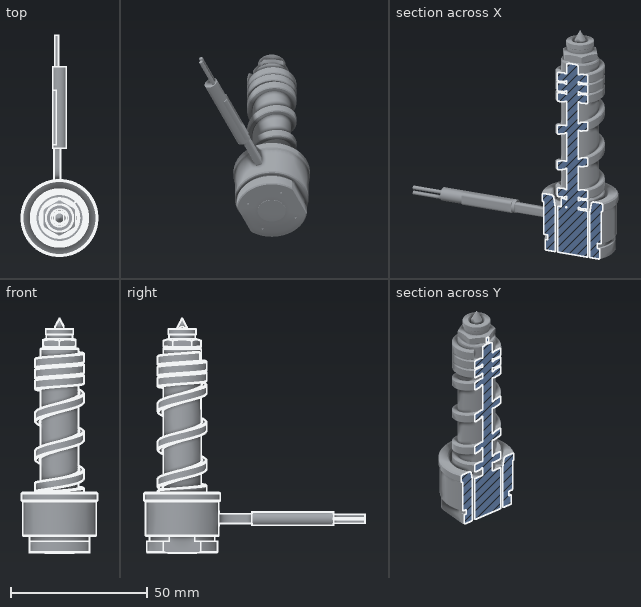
import cadquery as cq
import math

FOOT_R, FOOT_H = 5.15, 0.15
BASE_R, BASE_TOP = 13.0, 4.45
BASE_CHAMFER = 0.4
NECK_R, NECK_TOP = 12.0, 6.2
FLAT_X = 11.05
BODY_R = 13.5
BODY_CHAMFER = 0.4
RIM_R = 14.0
RIM_BOTTOM, RIM_TOP = 18.9, 22.4
RIM_CHAMFER = 0.5
RECESS_LIP_R, RECESS_TOP_R, RECESS_FLOOR_R = 10.6, 10.05, 9.6
RECESS_CHAMFER_Z, RECESS_DEPTH = 0.6, 4.0
RECESS_FLOOR = RIM_TOP - RECESS_DEPTH
VENT_R, VENT_CIRCLE_R, VENT_COUNT, VENT_START_ANGLE = 0.4, 9.3, 4, 45

BARREL_R, BARREL_TOP = 7.0, 75.2
BARREL_CHAMFER_R, BARREL_CHAMFER_Z = 0.3, 0.5

SEAT_R = 5.45
HEX_FLATS = 12.1
HEX_BOTTOM, HEX_TOP = 75.7, 78.6
HEX_TOP_R, HEX_TOP_SLOPE = 5.05, 20
TIP_NECK_R = 4.85
TIP_R, TIP_BOTTOM, TIP_TOP = 5.1, 80.1, 82.3
TIP_CHAMFER = 0.2
TIP_MOUTH_R, TIP_MOUTH_DEPTH = 3.2, 1.0
TIP_BORE_R, TIP_BORE_DEPTH = 2.5, 4.0
BORE_FLOOR = TIP_TOP - TIP_BORE_DEPTH

NEEDLE_POINT = 86.2
NEEDLE_R, NEEDLE_CONE_H = 2.0, 3.85
NEEDLE_FLAT_X = 1.65

COIL_OUTER_R = 9.05
COIL_ROOT_R = BARREL_R - 0.2
COIL_BAND = 3.6
COIL_CHAMFER = 0.35
COIL_TOP_Z = 73.4
CLOSE_PITCH, OPEN_PITCH = 3.95, 14.0
COIL_UPPER_END = 1 / 8
OPEN_START, OPEN_END = -2.52, -5.07
PITCH_BLEND = 0.4
COIL_LOWER_END = -6.6
POINTS_PER_TURN = 36

LEAD_Z = 12.7
CABLE_X, CABLE_WIDTH, CABLE_HEIGHT, CABLE_FILLET = -0.8, 2.5, 3.6, 0.55
CABLE_ROOT_Y = 12.0
SLEEVE_R, SLEEVE_START, SLEEVE_LENGTH = 2.5, 25.5, 30.0
SLEEVE_END = SLEEVE_START + SLEEVE_LENGTH
TAB_OFFSET, TAB_LENGTH, TAB_HEIGHT, TAB_FILLET = 1.3, 20.0, 4.5, 0.95
WIRE_R, WIRE_X, WIRE_SPACING = 0.7, -1.05, 2.0
WIRE_END = 67.0
LEAD_EMBED = 2.0


def cylinder(radius, bottom, top):
    return cq.Workplane("XY").workplane(offset=bottom).circle(radius).extrude(top - bottom)


def turned(outline):
    """Solid of revolution about Z from (radius, height) points."""
    return cq.Workplane("XZ").polyline(outline).close().revolve(360, (0, 0, 0), (0, 1, 0))


def bar_along_y(start, length):
    """Workplane at the far end of a bar that starts at Y = start, with its extrusion length."""
    return cq.Workplane("XZ", origin=(0, start + length, LEAD_Z)), length


def make_recess():
    """Tapered pocket around the coil with a chamfered mouth."""
    wall_top = RIM_TOP - RECESS_CHAMFER_Z
    return turned(
        [
            (0, RECESS_FLOOR),
            (RECESS_FLOOR_R, RECESS_FLOOR),
            (RECESS_TOP_R, wall_top),
            (RECESS_LIP_R, RIM_TOP),
            (0, RIM_TOP),
        ]
    )


def make_vents():
    """Small holes through the recess floor to the underside."""
    return (
        cq.Workplane("XY")
        .polarArray(VENT_CIRCLE_R, VENT_START_ANGLE, 360, VENT_COUNT)
        .circle(VENT_R)
        .extrude(RIM_TOP)
    )


def make_housing():
    base = cylinder(BASE_R, FOOT_H, BASE_TOP).faces("<Z").chamfer(BASE_CHAMFER)
    base = base.union(cylinder(NECK_R, BASE_TOP, NECK_TOP))
    base = base.intersect(cq.Workplane("XY").box(2 * FLAT_X, 2 * BASE_R, 2 * NECK_TOP))
    body = cylinder(BODY_R, NECK_TOP, RIM_BOTTOM).faces("<Z").chamfer(BODY_CHAMFER)
    rim = cylinder(RIM_R, RIM_BOTTOM, RIM_TOP).edges().chamfer(RIM_CHAMFER)
    housing = cylinder(FOOT_R, 0, FOOT_H).union(base).union(body).union(rim)
    return housing.cut(make_recess()).cut(make_vents())


def make_barrel():
    barrel = cylinder(BARREL_R, RECESS_FLOOR, BARREL_TOP)
    return barrel.faces(">Z").chamfer(BARREL_CHAMFER_Z, BARREL_CHAMFER_R)


def make_hexagon():
    """Hexagon with corners on the Y axis and a slightly conical upper face."""
    corner_r = HEX_FLATS / 2 / math.cos(math.pi / 6)
    rim_z = HEX_TOP - (corner_r - HEX_TOP_R) * math.tan(math.radians(HEX_TOP_SLOPE))
    hexagon = (
        cq.Workplane("XY")
        .workplane(offset=HEX_BOTTOM)
        .transformed(rotate=(0, 0, 90))
        .polygon(6, 2 * corner_r)
        .extrude(HEX_TOP - HEX_BOTTOM)
    )
    dome = [(0, HEX_BOTTOM), (corner_r, HEX_BOTTOM), (corner_r, rim_z), (HEX_TOP_R, HEX_TOP), (0, HEX_TOP)]
    return hexagon.intersect(turned(dome))


def make_nozzle():
    seat = cylinder(SEAT_R, BARREL_TOP, HEX_BOTTOM)
    neck = cylinder(TIP_NECK_R, HEX_TOP, TIP_BOTTOM)
    tip = cylinder(TIP_R, TIP_BOTTOM, TIP_TOP).edges().chamfer(TIP_CHAMFER)
    nozzle = seat.union(make_hexagon()).union(neck).union(tip)
    bore = turned(
        [
            (0, BORE_FLOOR),
            (TIP_BORE_R, BORE_FLOOR),
            (TIP_BORE_R, TIP_TOP - TIP_MOUTH_DEPTH),
            (TIP_MOUTH_R, TIP_TOP),
            (0, TIP_TOP),
        ]
    )
    return nozzle.cut(bore)


def make_needle():
    cone_base = NEEDLE_POINT - NEEDLE_CONE_H
    needle = turned([(0, BORE_FLOOR), (NEEDLE_R, BORE_FLOOR), (NEEDLE_R, cone_base), (0, NEEDLE_POINT)])
    return needle.intersect(cq.Workplane("XY").box(2 * NEEDLE_FLAT_X, 2 * NEEDLE_R, 2 * NEEDLE_POINT))


def blended_turns(turns):
    """Turns counted at full pitch after a stretch over which the pitch changes linearly."""
    if turns <= 0:
        return 0
    if turns < PITCH_BLEND:
        return turns**2 / (2 * PITCH_BLEND)
    return turns - PITCH_BLEND / 2


def coil_height(turn):
    """Upper edge of the coil band: close-wound at both ends, open-wound between."""
    open_turns = blended_turns(OPEN_START - turn) - blended_turns(OPEN_END - turn)
    close_turns = -turn - open_turns
    return COIL_TOP_Z - close_turns * CLOSE_PITCH - open_turns * OPEN_PITCH


def coil_edge(radius, drop):
    """Helical edge at a given radius and distance below the band's upper edge."""
    length = COIL_UPPER_END - COIL_LOWER_END
    count = math.ceil(length * POINTS_PER_TURN)
    points = []
    for i in range(count + 1):
        turn = COIL_LOWER_END + length * i / count
        angle = 2 * math.pi * turn
        points.append(cq.Vector(radius * math.cos(angle), radius * math.sin(angle), coil_height(turn) - drop))
    return cq.Edge.makeSpline(points)


def make_coil():
    """Flat heater band with bevelled edges, skinned between the helical edges of its section."""
    shoulder_r = COIL_OUTER_R - COIL_CHAMFER
    bevel_r = BARREL_R + COIL_CHAMFER
    root_drop = bevel_r - COIL_ROOT_R
    section = [
        (COIL_ROOT_R, root_drop),
        (bevel_r, 0),
        (shoulder_r, 0),
        (COIL_OUTER_R, COIL_CHAMFER),
        (COIL_OUTER_R, COIL_BAND - COIL_CHAMFER),
        (shoulder_r, COIL_BAND),
        (bevel_r, COIL_BAND),
        (COIL_ROOT_R, COIL_BAND - root_drop),
    ]
    edges = [coil_edge(radius, drop) for radius, drop in section]
    faces = [cq.Face.makeRuledSurface(edges[i - 1], edges[i]) for i in range(len(edges))]
    for position in (0, 1):
        corners = [edge.positionAt(position) for edge in edges]
        faces.append(cq.Face.makeFromWires(cq.Wire.makePolygon(corners, close=True)))
    return cq.Workplane(cq.Solid.makeSolid(cq.Shell.makeShell(faces)))


def make_lead():
    plane, length = bar_along_y(CABLE_ROOT_Y, SLEEVE_START + LEAD_EMBED - CABLE_ROOT_Y)
    cable = plane.center(CABLE_X, 0).rect(CABLE_WIDTH, CABLE_HEIGHT).extrude(length)
    cable = cable.edges("|Y").fillet(CABLE_FILLET)

    plane, length = bar_along_y(SLEEVE_START, SLEEVE_LENGTH)
    sleeve = plane.circle(SLEEVE_R).extrude(length)

    plane, length = bar_along_y(SLEEVE_START + TAB_OFFSET, TAB_LENGTH)
    tab = plane.center(-SLEEVE_R / 2, 0).rect(SLEEVE_R, TAB_HEIGHT).extrude(length)
    tab = tab.edges("|Y and <X").fillet(TAB_FILLET)

    wire_start = SLEEVE_END - LEAD_EMBED
    plane, length = bar_along_y(wire_start, WIRE_END - wire_start)
    wires = plane.center(WIRE_X, 0).rarray(1, WIRE_SPACING, 1, 2).circle(WIRE_R).extrude(length)
    return cable.union(sleeve).union(tab).union(wires)


result = (
    make_housing()
    .union(make_barrel())
    .union(make_nozzle())
    .union(make_needle())
    .union(make_coil())
    .union(make_lead())
)